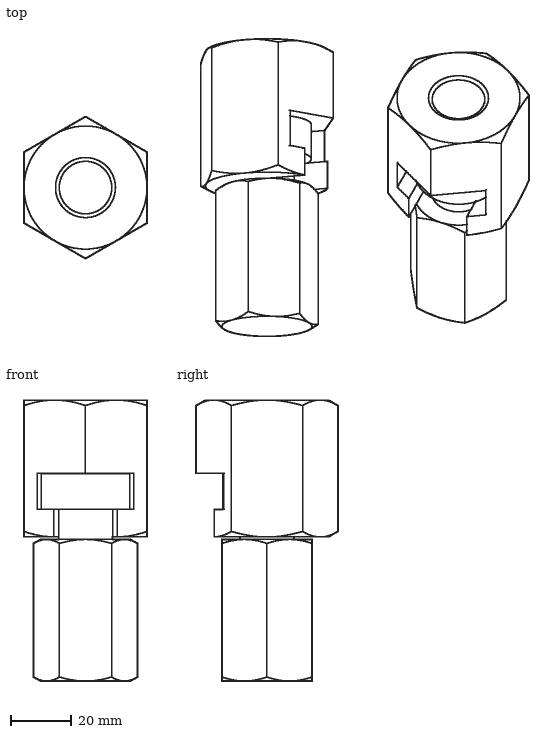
import cadquery as cq
import math

nut_flats = 41.0
nut_height = 45.6
bore_diameter = 17.5
bore_mouth_diameter = 20.0
bore_mouth_angle = 30.0
lip_height = 9.2
head_slot_width = 32.0
head_slot_height = 12.0
neck_slot_width = 21.0

stud_flats = 30.0
stud_hex_height = 47.2
nut_gap = 0.8
neck_diameter = 18.0
head_diameter = 29.5
head_height = 11.8

corner_chamfer_angle = 30.0
half_side_angle = 30.0

nut_bottom = stud_hex_height + nut_gap
nut_top = nut_bottom + nut_height
ledge = nut_bottom + lip_height


def chamfered_hexagon(flats, height, bottom, turn):
    """Upright hexagonal bar with its corners turned down at both ends."""
    corner_diameter = flats / math.cos(math.radians(half_side_angle))
    hexagon = (
        cq.Workplane("XY")
        .polygon(6, corner_diameter)
        .extrude(height)
        .rotate((0, 0, 0), (0, 0, 1), turn)
    )
    face_radius = flats / 2
    corner_radius = corner_diameter / 2
    drop = (corner_radius - face_radius) * math.tan(math.radians(corner_chamfer_angle))
    envelope = (
        cq.Workplane("XZ")
        .moveTo(0, 0)
        .lineTo(face_radius, 0)
        .lineTo(corner_radius, drop)
        .lineTo(corner_radius, height - drop)
        .lineTo(face_radius, height)
        .lineTo(0, height)
        .close()
        .revolve(360, (0, 0, 0), (0, 1, 0))
    )
    return hexagon.intersect(envelope).translate((0, 0, bottom))


def round_ended_slot(width, bottom, height):
    """Slot centred on the axis with a half-round end, running out through the -Y side."""
    round_end = cq.Workplane("XY").circle(width / 2).extrude(height)
    entry = cq.Workplane("XY").box(width, nut_flats, height, centered=(True, False, False))
    entry = entry.translate((0, -nut_flats, 0))
    return round_end.union(entry).translate((0, 0, bottom))


def disc(diameter, bottom, height):
    return cq.Workplane("XY").workplane(offset=bottom).circle(diameter / 2).extrude(height)


def make_nut():
    body = chamfered_hexagon(nut_flats, nut_height, nut_bottom, turn=half_side_angle)

    mouth_width = (bore_mouth_diameter - bore_diameter) / 2
    mouth_depth = mouth_width * math.tan(math.radians(bore_mouth_angle))
    bore = disc(bore_diameter, ledge, nut_top - ledge)
    mouth = (
        cq.Workplane("XY")
        .workplane(offset=nut_top)
        .circle(bore_mouth_diameter / 2)
        .workplane(offset=-mouth_depth)
        .circle(bore_diameter / 2)
        .loft()
    )

    head_slot = round_ended_slot(head_slot_width, ledge, head_slot_height)
    neck_slot = round_ended_slot(neck_slot_width, nut_bottom, lip_height)
    return body.cut(bore).cut(mouth).cut(head_slot).cut(neck_slot)


def make_stud():
    body = chamfered_hexagon(stud_flats, stud_hex_height, 0, turn=0)
    neck = disc(neck_diameter, stud_hex_height, ledge - stud_hex_height)
    head = disc(head_diameter, ledge, head_height)
    return body.union(neck).union(head)


nut = make_nut()
stud = make_stud()

result = cq.Compound.makeCompound([nut.val(), stud.val()])